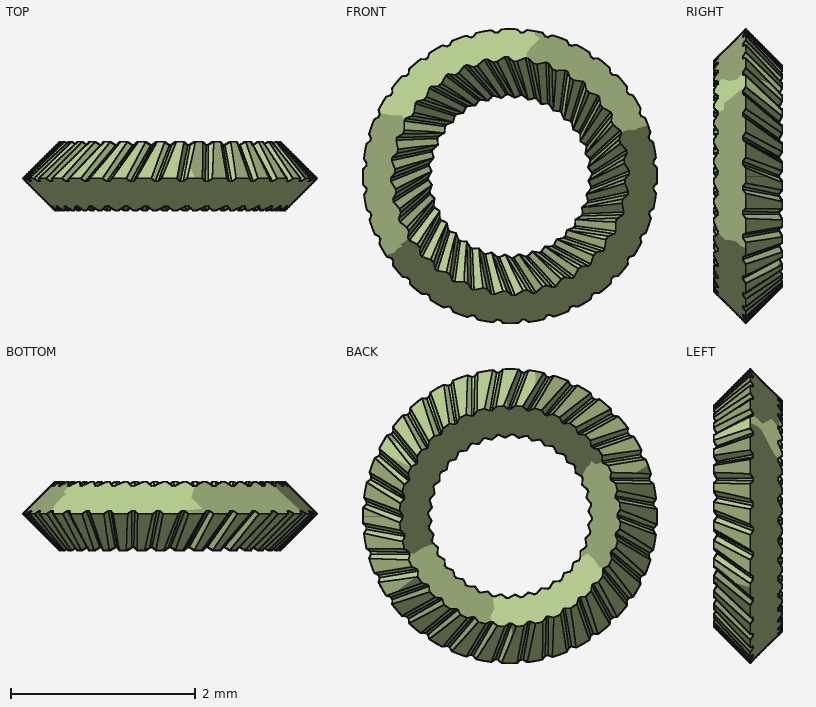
import cadquery as cq
import math

RIM_RADIUS = 1.6
FRONT_REACH = 0.35
TOOTH_REACH = 0.4

TOOTH_COUNT = 36
PITCH_ANGLE = 360 / TOOTH_COUNT
OVERRUN = 0.06
MOUTH_MARGIN = 0.015

FRONT_EDGE = (RIM_RADIUS - FRONT_REACH, -FRONT_REACH)
BACK_EDGE = (RIM_RADIUS - TOOTH_REACH, TOOTH_REACH)
BORE_EDGE = (FRONT_EDGE[0] - TOOTH_REACH, FRONT_EDGE[1] + TOOTH_REACH)

OUTER_RIM_ANGLE = 5.3
OUTER_TWIST = 5.6
OUTER_WIDE_END = ((RIM_RADIUS, 0), OUTER_RIM_ANGLE, (0.112, 0.032, 0.045, 0))
OUTER_NARROW_END = (BACK_EDGE, OUTER_RIM_ANGLE - OUTER_TWIST, (0.128, 0.022, 0.05, 0))

INNER_FRONT_ANGLE = 2.5
INNER_TWIST = 11.0
INNER_WIDE_END = (FRONT_EDGE, INNER_FRONT_ANGLE, (0.17, 0.032, 0.065, -0.015))
INNER_NARROW_END = (BORE_EDGE, INNER_FRONT_ANGLE - INNER_TWIST, (0.147, 0.025, 0.05, 0.003))


def ring_blank():
    """Plain ring before the teeth are cut."""
    section = [(RIM_RADIUS, 0), FRONT_EDGE, BORE_EDGE, BACK_EDGE]
    return cq.Workplane("XY").polyline(section).close().revolve(360, (0, 0, 0), (0, 1, 0))


def mouth_centre(end):
    """Middle of the groove mouth at one end, as a point in space."""
    (radius, height), angle, _ = end
    turn = math.radians(angle)
    return cq.Vector(radius * math.cos(turn), height, radius * math.sin(turn))


def groove_section(wide_end, narrow_end, share, inward):
    """Trapezoid across the groove at a share of the way from wide to narrow end.

    inward is 1 for grooves sunk towards the axis and -1 for grooves sunk away from it.
    """
    start = mouth_centre(wide_end)
    centre = start + (mouth_centre(narrow_end) - start) * share
    mouth, floor, depth, shift = [
        wide + (narrow - wide) * share for wide, narrow in zip(wide_end[2], narrow_end[2])
    ]
    distance = math.hypot(centre.x, centre.z)
    radial = cq.Vector(centre.x / distance, 0, centre.z / distance)
    sideways = cq.Vector(-radial.z, 0, radial.x)
    along = cq.Vector(0, 1, 0) - radial
    plane = cq.Plane(origin=centre, xDir=sideways, normal=along * inward)

    def wall(side):
        mouth_edge = side * mouth / 2
        floor_edge = shift + side * floor / 2
        top_edge = mouth_edge + (mouth_edge - floor_edge) * MOUTH_MARGIN / depth
        return (top_edge, MOUTH_MARGIN), (floor_edge, -depth)

    left_top, left_floor = wall(-1)
    right_top, right_floor = wall(1)
    corners = [left_top, left_floor, right_floor, right_top]
    return cq.Wire.makePolygon([plane.toWorldCoords(corner) for corner in corners], close=True)


def groove_cutters(wide_end, narrow_end, inward):
    """Straight skewed groove, repeated at every tooth pitch."""
    shares = (-OVERRUN, 1 + OVERRUN)
    sections = [groove_section(wide_end, narrow_end, share, inward) for share in shares]
    groove = cq.Solid.makeLoft(sections, True)
    return [
        groove.rotate(cq.Vector(0, 0, 0), cq.Vector(0, 1, 0), tooth * PITCH_ANGLE)
        for tooth in range(TOOTH_COUNT)
    ]


outer_grooves = groove_cutters(OUTER_WIDE_END, OUTER_NARROW_END, 1)
inner_grooves = groove_cutters(INNER_WIDE_END, INNER_NARROW_END, -1)
ring = ring_blank().val().cut(*outer_grooves, *inner_grooves)
result = cq.Workplane("XY").newObject(ring.Solids())